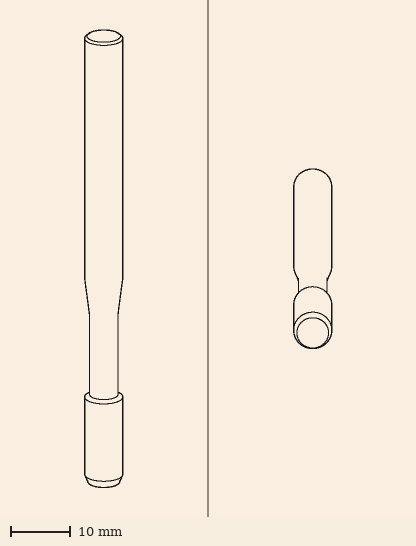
import cadquery as cq
import math

body_diameter = 6.4
neck_diameter = 4.8
tip_diameter = 5.3

overall_length = 80.0
lead_length = 1.35
head_length = 15.7
taper_start = 30.0
taper_length = 6.5

shoulder_angle = 30.0
shank_chamfer = 0.4

body_radius = body_diameter / 2
neck_radius = neck_diameter / 2
tip_radius = tip_diameter / 2
shoulder_length = (body_radius - neck_radius) * math.tan(math.radians(shoulder_angle))


def revolve_about_axis(outline):
    """Revolve (radius, height) points, closed along the Z axis, into a solid."""
    bottom = outline[0][1]
    top = outline[-1][1]
    profile = [(0, bottom), *outline, (0, top)]
    return cq.Workplane("XZ").polyline(profile).close().revolve(360, (0, 0), (0, 1))


def make_head():
    """Working head: tapered lead, full-diameter land and sloped shoulder."""
    return revolve_about_axis([
        (tip_radius, 0),
        (body_radius, lead_length),
        (body_radius, head_length - shoulder_length),
        (neck_radius, head_length),
    ])


def make_shank():
    """Slim neck standing on the head, widening taper and chamfered shank."""
    return revolve_about_axis([
        (neck_radius, head_length),
        (neck_radius, taper_start),
        (body_radius, taper_start + taper_length),
        (body_radius, overall_length - shank_chamfer),
        (body_radius - shank_chamfer, overall_length),
    ])


head = make_head()
shank = make_shank()

result = cq.Compound.makeCompound([head.val(), shank.val()])